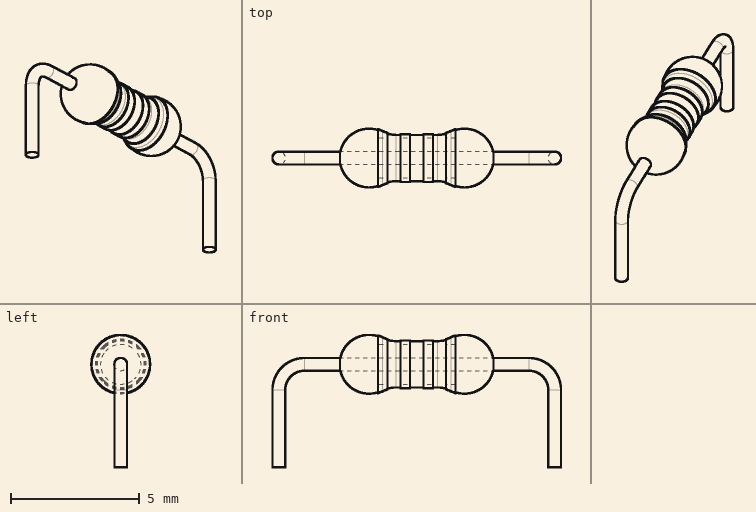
import cadquery as cq
import math

overall_length = 11.2
overall_height = 5.14
wire_diameter = 0.5
bend_radius = 1.0
leg_x = (overall_length - wire_diameter) / 2

waist_radius = 1.8 / 2
waist_half_length = 0.8
bulb_radius = 2.3 / 2
bulb_centre_x = 1.85
leg_end_z = bulb_radius - overall_height

band_outer_radius = 1.86 / 2
band_groove_radius = 1.56 / 2
band_width = 0.37
band_height = band_outer_radius - waist_radius
inner_band_x = 0.44
outer_band_x = 1.32
band_positions = [-outer_band_x, -inner_band_x, inner_band_x, outer_band_x]

flare_run = bulb_centre_x - waist_half_length
flare_radius = (flare_run**2 + waist_radius**2 - bulb_radius**2) / (2 * (bulb_radius - waist_radius))
flare_centre_z = waist_radius + flare_radius
flare_angle = math.atan2(flare_run, flare_centre_z)


def flared_solid(offset):
    """Housing envelope, with its surface moved outward by offset."""
    waist = waist_radius + offset
    flare = flare_radius - offset
    bulb = bulb_radius + offset

    def flare_point(angle):
        x = waist_half_length + flare * math.sin(angle)
        return x, flare_centre_z - flare * math.cos(angle)

    def mirrored(point):
        return -point[0], point[1]

    flare_start = (waist_half_length, waist)
    flare_middle = flare_point(flare_angle / 2)
    flare_end = flare_point(flare_angle)
    bulb_top = (bulb_centre_x, bulb)
    bulb_tip = (bulb_centre_x + bulb, 0)

    return (
        cq.Workplane("XZ")
        .moveTo(*mirrored(flare_start))
        .lineTo(*flare_start)
        .threePointArc(flare_middle, flare_end)
        .threePointArc(bulb_top, bulb_tip)
        .lineTo(*mirrored(bulb_tip))
        .threePointArc(mirrored(bulb_top), mirrored(flare_end))
        .threePointArc(mirrored(flare_middle), mirrored(flare_start))
        .close()
        .revolve(360, (0, 0, 0), (1, 0, 0))
    )


def band_space(centre_x):
    """Ring-shaped space outside the groove floor, wide enough to clear the housing."""
    clear_radius = 2 * bulb_radius
    return (
        cq.Workplane("YZ")
        .workplane(offset=centre_x - band_width / 2)
        .circle(clear_radius)
        .circle(band_groove_radius)
        .extrude(band_width)
    )


def make_wire():
    bend_start_x = leg_x - bend_radius
    bend_mid_x = bend_start_x + bend_radius * math.sin(math.pi / 4)
    bend_mid_z = -bend_radius * (1 - math.cos(math.pi / 4))
    path = (
        cq.Workplane("XZ")
        .moveTo(-leg_x, leg_end_z)
        .lineTo(-leg_x, -bend_radius)
        .threePointArc((-bend_mid_x, bend_mid_z), (-bend_start_x, 0))
        .lineTo(bend_start_x, 0)
        .threePointArc((bend_mid_x, bend_mid_z), (leg_x, -bend_radius))
        .lineTo(leg_x, leg_end_z)
    )
    leg_end = cq.Workplane("XY", origin=(-leg_x, 0, leg_end_z))
    return leg_end.circle(wire_diameter / 2).sweep(path)


def make_housing():
    wire_hole = cq.Workplane("YZ").circle(wire_diameter / 2).extrude(leg_x, both=True)
    body = flared_solid(0).cut(wire_hole)
    for centre_x in band_positions:
        body = body.cut(band_space(centre_x))
    return body


def make_band(centre_x):
    return flared_solid(band_height).intersect(band_space(centre_x))


wire = make_wire()
housing = make_housing()
bands = [make_band(centre_x).solids().val() for centre_x in band_positions]

result = cq.Compound.makeCompound([wire.solids().val(), housing.solids().val(), *bands])